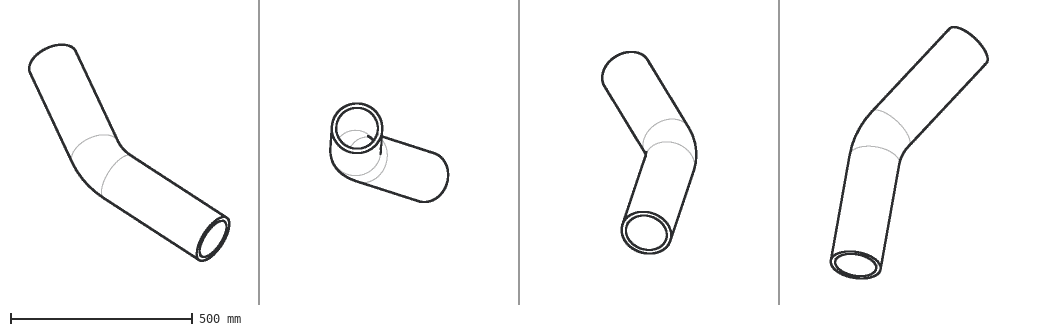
import cadquery as cq
import math

overall_length = 781.5
outer_diameter = 140.0
inner_diameter = 115.0
bend_angle = 30.0
bend_radius = 1.5 * outer_diameter

bend_sin = math.sin(math.radians(bend_angle))
bend_cos = math.cos(math.radians(bend_angle))

end_overhang = outer_diameter / 2 * bend_sin
leg_length = (overall_length - bend_radius * bend_sin - end_overhang) / (1 + bend_cos)


def pipe_ring(workplane):
    """Draw the annular pipe section on a workplane."""
    return workplane.circle(outer_diameter / 2).circle(inner_diameter / 2)


inlet_leg = pipe_ring(cq.Workplane("YZ")).extrude(leg_length)

bend_start = cq.Workplane("YZ", origin=(leg_length, 0, 0))
bend = pipe_ring(bend_start).revolve(bend_angle, (bend_radius, 0), (bend_radius, 1))

outlet_plane = cq.Plane(
    origin=(leg_length + bend_radius * bend_sin, bend_radius * (1 - bend_cos), 0),
    xDir=(-bend_sin, bend_cos, 0),
    normal=(bend_cos, bend_sin, 0),
)
outlet_leg = pipe_ring(cq.Workplane(outlet_plane)).extrude(leg_length)

result = inlet_leg.union(bend).union(outlet_leg)